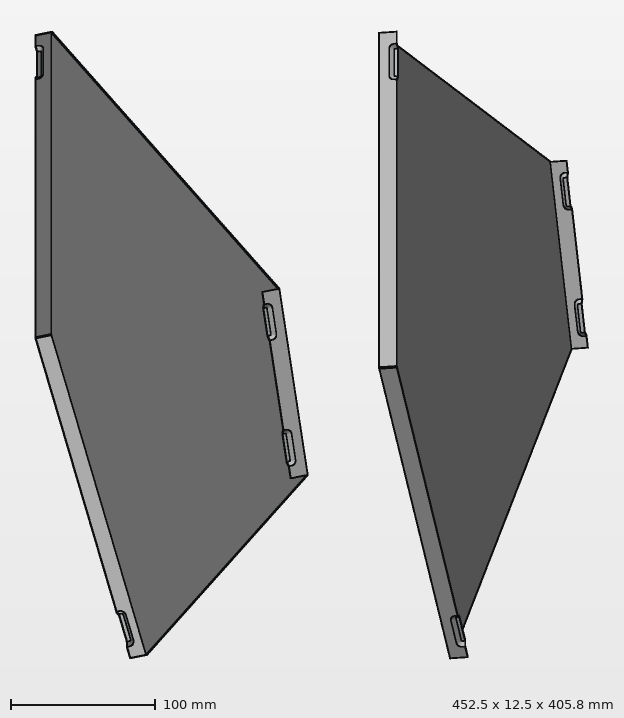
import cadquery as cq
import math

width = 452.5
depth = 12.5
height = 405.8
sheet = 1.0
slant_run = 168.0
right_lean = math.radians(22.5)
flange_gap = 0.7

dimple_offset = 8.5
dimple_length = 25.5
dimple_height = 5.5
dimple_depth = 2.95
dimple_corner = 3.5
dimple_slope_run = 2.95

slope_angle = math.atan2(dimple_slope_run, dimple_depth)

right_z = width - slant_run
top_right_x = width - (height - right_z) * math.tan(right_lean)
top_left = (0, height)
lower_left = (0, slant_run)
bottom = (slant_run, 0)
right = (width, right_z)
top_right = (top_right_x, height)


def flange_plane(start, end):
    """Plane on a flange's outer face: x runs along the fold, y from the panel back to the free edge."""
    run_x = end[0] - start[0]
    run_z = end[1] - start[1]
    return cq.Plane(
        origin=(start[0], depth, start[1]),
        xDir=(run_x, 0, run_z),
        normal=(run_z, 0, -run_x),
    )


def dimple_form(plane, middle, margin, reach):
    """Sloping-sided form centred on the free edge, going inwards from the flange's outer face."""
    outline = (
        cq.Sketch()
        .rect(dimple_length + 2 * margin, 2 * (dimple_height + margin))
        .vertices()
        .fillet(dimple_corner + margin)
    )
    return (
        cq.Workplane(plane)
        .center(middle, depth)
        .placeSketch(outline)
        .extrude(-reach, taper=math.degrees(slope_angle))
    )


def flange(start, end, dimple_at_start, dimple_at_end):
    """Flange along one panel edge, with a dimple near one or both ends."""
    plane = flange_plane(start, end)
    length = math.dist(start, end)
    wall_start = flange_gap if start == lower_left else 0
    wall_end = length - flange_gap if end == lower_left else length
    wall = (
        cq.Workplane(plane)
        .center(wall_start, 0)
        .rect(wall_end - wall_start, depth, centered=False)
        .extrude(-sheet)
    )
    trim = (
        cq.Workplane(plane)
        .rect(length, depth, centered=False)
        .extrude(-dimple_depth - sheet)
    )
    dimple_middle = dimple_offset + dimple_length / 2
    middles = []
    if dimple_at_start:
        middles.append(dimple_middle)
    if dimple_at_end:
        middles.append(length - dimple_middle)

    margin = sheet / math.cos(slope_angle)
    for middle in middles:
        shell = dimple_form(plane, middle, margin, dimple_depth + sheet).intersect(trim)
        hollow = dimple_form(plane, middle, 0, dimple_depth)
        wall = wall.union(shell).cut(hollow)
    return wall


panel = (
    cq.Workplane("XZ", origin=(0, depth, 0))
    .polyline([top_left, lower_left, bottom, right, top_right])
    .close()
    .extrude(sheet)
)
left_flange = flange(top_left, lower_left, True, False)
slant_flange = flange(lower_left, bottom, False, True)
right_flange = flange(right, top_right, True, True)

result = panel.union(left_flange).union(slant_flange).union(right_flange)